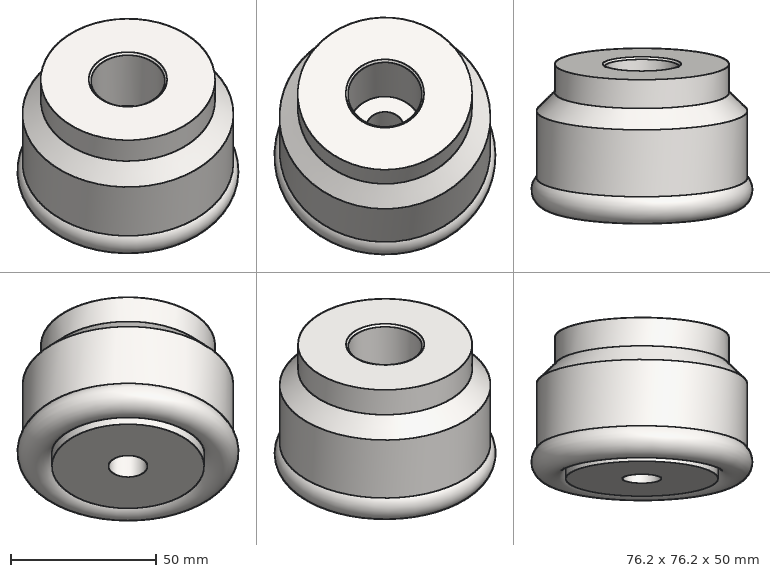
import cadquery as cq
import math

outer_radius = 38.1
height = 50.0

section_radius = 5.95
ring_radius = outer_radius - section_radius
ring_height = section_radius

spigot_radius = ring_radius - section_radius
body_radius = 36.35
boss_radius = 30.0
boss_height = 10.05
boss_base = height - boss_height
shoulder_base = boss_base - (body_radius - boss_radius)

hole_radius = 6.7
counterbore_radius = 12.7
counterbore_depth = height / 2
mouth_chamfer = 0.8


def revolve_about_z(profile):
    """Turn a closed XZ profile (radius, height) once around the Z axis."""
    return profile.revolve(360, (0, 0, 0), (0, 1, 0))


def make_housing():
    """Turned housing with a round seat for the ring under its outer wall."""
    seat_edge_height = ring_height + math.sqrt(section_radius**2 - (body_radius - ring_radius)**2)
    seat_crown = (ring_radius, ring_height + section_radius)
    counterbore_floor = height - counterbore_depth
    profile = (
        cq.Workplane("XZ")
        .moveTo(hole_radius, 0)
        .lineTo(spigot_radius, 0)
        .lineTo(spigot_radius, ring_height)
        .threePointArc(seat_crown, (body_radius, seat_edge_height))
        .lineTo(body_radius, shoulder_base)
        .lineTo(boss_radius, boss_base)
        .lineTo(boss_radius, height)
        .lineTo(counterbore_radius + mouth_chamfer, height)
        .lineTo(counterbore_radius, height - mouth_chamfer)
        .lineTo(counterbore_radius, counterbore_floor)
        .lineTo(hole_radius, counterbore_floor)
        .close()
    )
    return revolve_about_z(profile)


def make_ring():
    """Ring of circular section that fills the seat and bulges past the wall."""
    section = cq.Workplane("XZ").center(ring_radius, ring_height).circle(section_radius)
    return section.revolve(360, (-ring_radius, 0, 0), (-ring_radius, 1, 0))


housing = make_housing()
ring = make_ring()

result = cq.Compound.makeCompound([housing.val(), ring.val()])